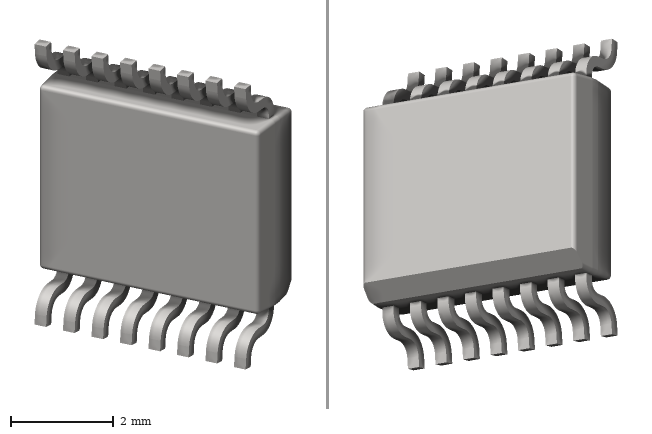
import cadquery as cq
import math

body_width = 4.98
body_depth = 1.42
body_height = 3.985
lead_tip_height = 3.01
lead_tip_reach = 1.06

draft_angle = 4.0
edge_radius = 0.09
bevel_size = 0.36

leads_per_side = 8
outer_lead_spacing = 4.44
lead_pitch = outer_lead_spacing / (leads_per_side - 1)
lead_width = 0.26
lead_thickness = 0.21
shoulder_radius = 0.33
ankle_radius = 0.41
foot_length = 0.215
foot_tilt = math.radians(6.0)
lead_embed = 0.3


def make_drafted_half():
    """Front half of the body, drafted, with rounded corners and front outline."""
    drafted_depth = (body_depth - lead_thickness) / 2
    return (
        cq.Workplane("XZ", origin=(0, -lead_thickness / 2, 0))
        .rect(body_width, body_height)
        .extrude(drafted_depth, taper=draft_angle)
        .edges("not >Y")
        .fillet(edge_radius)
    )


def make_body():
    """Straight parting band between drafted halves, with a bevelled lower back edge."""
    band = (
        cq.Workplane("XZ")
        .rect(body_width, body_height)
        .extrude(lead_thickness / 2, both=True)
        .edges("|Y")
        .fillet(edge_radius)
    )
    front_half = make_drafted_half()
    body = band.union(front_half).union(front_half.mirror("XZ"))

    back = body_depth / 2
    bottom = -body_height / 2
    bevel = (
        cq.Workplane("YZ")
        .polyline([(back, bottom), (back - bevel_size, bottom), (back, bottom + bevel_size)])
        .close()
        .extrude(body_width, both=True)
    )
    return body.cut(bevel)


def make_upper_lead():
    """Gull-wing lead at X = 0, rising from the body and stepping towards -Y."""
    ankle_run = ankle_radius * math.cos(foot_tilt)
    ankle_rise = ankle_radius * (1 - math.sin(foot_tilt))
    foot_run = foot_length * math.sin(foot_tilt)
    foot_rise = foot_length * math.cos(foot_tilt)
    half_thickness = lead_thickness / 2

    tip_y = -(lead_tip_reach - half_thickness * math.cos(foot_tilt))
    tip_z = lead_tip_height - half_thickness * math.sin(foot_tilt)
    ankle_end_y = tip_y + foot_run
    ankle_end_z = tip_z - foot_rise
    step_z = ankle_end_z - ankle_rise
    shoulder_start_z = step_z - shoulder_radius
    root_z = body_height / 2 - lead_embed

    path = (
        cq.Workplane("YZ")
        .moveTo(0, root_z)
        .lineTo(0, shoulder_start_z)
        .tangentArcPoint((-shoulder_radius, step_z), relative=False)
        .lineTo(ankle_end_y + ankle_run, step_z)
        .tangentArcPoint((ankle_end_y, ankle_end_z), relative=False)
        .lineTo(tip_y, tip_z)
    )
    return cq.Workplane("XY", origin=(0, 0, root_z)).rect(lead_width, lead_thickness).sweep(path)


result = make_body()
upper_lead = make_upper_lead()
lower_lead = upper_lead.mirror("XY")
for index in range(leads_per_side):
    lead_x = index * lead_pitch - outer_lead_spacing / 2
    result = result.union(upper_lead.translate((lead_x, 0, 0)))
    result = result.union(lower_lead.translate((lead_x, 0, 0)))